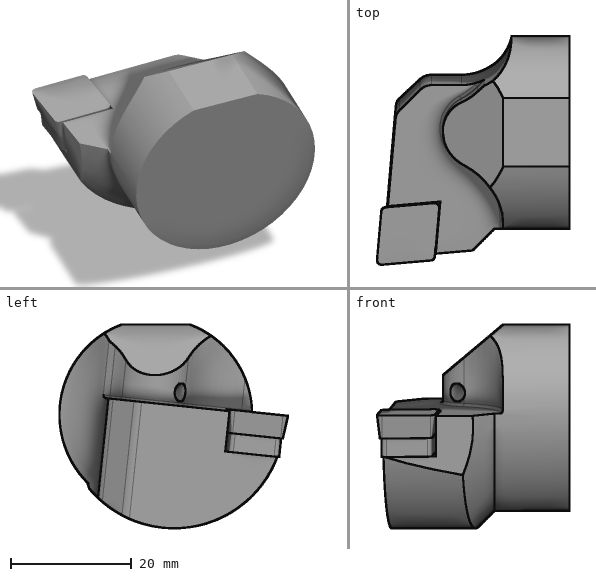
import cadquery as cq
import math

SHANK_RADIUS = 31.95 / 2
TOP_FLAT_Z = 14.95
SLANT_ANGLE = 40
SLANT_TOP_X = -11.0
SLANT_LENGTH = 11.75

HEAD_LENGTH = 34.13
HEAD_RADIUS = 18.28
HEAD_AXIS_Y = -3.05
HEAD_AXIS_Z = -0.55
FLARE_X = -12.48

TILT = math.radians(6)
FLOOR_Z = 1.85
FAR = 45.5

LEAD = math.radians(5)
FRONT_FLAT_X = -16.08
FRONT_FLAT_V = -19.68
END_FACE_X = -28.75
END_FACE_V = 3.1
BACK_V = 7.9
BACK_ARC_X = -17.95
BACK_ARC_RADIUS = 8.35
END_CORNER_RADIUS = 2.1
BACK_CORNER_RADIUS = 2.65

WALL_X = -11.07
WALL_BEND_V = -14.25
NOSE_RADIUS = 5.7
NOSE_X = -15.32
NOSE_V = 0.65
REAR_BEND = 62
REAR_WALL_ANGLE = 45
REAR_WALL_RADIUS = 11.38
REAR_WALL_END_X = -13.65
WALL_FILLET = 0.5

HOLE_DIAMETER = 3.0
HOLE_X = -18.55
HOLE_Y = -4.02
HOLE_Z = 3.68
HOLE_ANGLE = math.radians(52)
HOLE_DEPTH = 7.6

INSERT_TIP_X = -32.0
INSERT_TIP_V = -22.1
INSERT_EDGE = 9.67
INSERT_NOSE_RADIUS = 0.8
INSERT_THICKNESS = 3.85
INSERT_RELIEF = 7
INSERT_RISE = 0.25
SHIM_THICKNESS = 3.1
SHIM_OUTER_INSET = 0.7
SHIM_INNER_INSET = 0.53
POCKET_CLEARANCE = 0.1
POCKET_OVERRUN = 7.6


def floor_plane(height=0):
    """Plane parallel to the tilted floor, at a height measured square to it."""
    normal = (0, -math.sin(TILT), math.cos(TILT))
    plane = cq.Plane(origin=(0, 0, FLOOR_Z), xDir=(1, 0, 0), normal=normal)
    plane.origin = plane.toWorldCoords((0, 0, height))
    return cq.Workplane(plane)


def on_circle(center, radius, degrees):
    angle = math.radians(degrees)
    return (center[0] + radius * math.cos(angle), center[1] + radius * math.sin(angle))


def make_blank():
    """Shank joined to the eccentric head, with the conical flare between them."""
    shank = cq.Workplane("YZ").circle(SHANK_RADIUS).extrude(-HEAD_LENGTH)
    cylinder = (
        cq.Workplane("YZ").center(HEAD_AXIS_Y, HEAD_AXIS_Z).circle(HEAD_RADIUS).extrude(-HEAD_LENGTH)
    )
    flare_length = HEAD_LENGTH + FLARE_X
    flare = (
        cq.Workplane("XY")
        .polyline([
            (FLARE_X, 0),
            (FLARE_X, SHANK_RADIUS),
            (-HEAD_LENGTH, SHANK_RADIUS + flare_length),
            (-HEAD_LENGTH, 0),
        ])
        .close()
        .revolve(360, (0, 0, 0), (1, 0, 0))
    )
    above_floor = floor_plane().rect(2 * FAR, 2 * FAR).extrude(FAR)
    return shank.union(cylinder.intersect(flare).cut(above_floor))


def make_plan_prism():
    """Outline of the cutting end, square to the floor."""
    slope = math.tan(LEAD)
    flat_start = (0, FRONT_FLAT_V - slope * FRONT_FLAT_X)
    corner_x = (
        END_FACE_X + slope * (FRONT_FLAT_V - slope * FRONT_FLAT_X - END_FACE_V)
    ) / (1 - slope ** 2)
    corner = (corner_x, FRONT_FLAT_V + slope * (corner_x - FRONT_FLAT_X))
    chamfer_end = (END_FACE_X + BACK_V - END_FACE_V, BACK_V)
    arc_center = (BACK_ARC_X, BACK_V + BACK_ARC_RADIUS)
    arc_end = on_circle(arc_center, BACK_ARC_RADIUS, 0)
    prism = (
        floor_plane(-FAR)
        .moveTo(*flat_start)
        .lineTo(*corner)
        .lineTo(END_FACE_X, END_FACE_V)
        .lineTo(*chamfer_end)
        .lineTo(BACK_ARC_X, BACK_V)
        .threePointArc(on_circle(arc_center, BACK_ARC_RADIUS, -45), arc_end)
        .lineTo(arc_end[0], FAR)
        .lineTo(0, FAR)
        .close()
        .extrude(2 * FAR)
    )
    rounded_corners = (
        (END_FACE_X, END_FACE_V, END_CORNER_RADIUS),
        (*chamfer_end, BACK_CORNER_RADIUS),
    )
    for x, v, radius in rounded_corners:
        point = floor_plane().plane.toWorldCoords((x, v, 0))
        prism = prism.edges(cq.selectors.NearestToPointSelector(point.toTuple())).fillet(radius)
    return prism


def make_floor_recess():
    """Space above the floor, bounded by the curved wall."""
    nose = (NOSE_X, NOSE_V)
    reach = NOSE_X - WALL_X
    rise = NOSE_V - WALL_BEND_V
    hollow_radius = (reach ** 2 + rise ** 2 - NOSE_RADIUS ** 2) / (2 * (NOSE_RADIUS - reach))
    hollow = (WALL_X - hollow_radius, WALL_BEND_V)
    bend = math.degrees(math.atan2(rise, NOSE_X - hollow[0]))
    nose_start = on_circle(nose, NOSE_RADIUS, 180 + bend)
    nose_end = on_circle(nose, NOSE_RADIUS, 180 - REAR_BEND)
    rear_hollow = on_circle(nose, NOSE_RADIUS + REAR_WALL_RADIUS, 180 - REAR_BEND)
    rear_end = on_circle(rear_hollow, REAR_WALL_RADIUS, REAR_WALL_ANGLE - 90)
    rear_middle = on_circle(rear_hollow, REAR_WALL_RADIUS, (REAR_WALL_ANGLE - 90 - REAR_BEND) / 2)
    rear_run = REAR_WALL_END_X - rear_end[0]
    recess = (
        floor_plane()
        .moveTo(WALL_X, -FAR)
        .lineTo(WALL_X, WALL_BEND_V)
        .threePointArc(on_circle(hollow, hollow_radius, bend / 2), nose_start)
        .threePointArc(on_circle(nose, NOSE_RADIUS, 180), nose_end)
        .threePointArc(rear_middle, rear_end)
        .lineTo(REAR_WALL_END_X, rear_end[1] + rear_run * math.tan(math.radians(REAR_WALL_ANGLE)))
        .lineTo(REAR_WALL_END_X, FAR)
        .lineTo(-FAR, FAR)
        .lineTo(-FAR, -FAR)
        .close()
        .extrude(FAR)
    )
    wall_foot = floor_plane().plane.toWorldCoords((NOSE_X - NOSE_RADIUS, NOSE_V, 0))
    return recess.edges(cq.selectors.NearestToPointSelector(wall_foot.toTuple())).fillet(WALL_FILLET)


def make_top_cut():
    """Material above the top flat and above the sloping face."""
    slope_drop = SLANT_LENGTH * math.tan(math.radians(SLANT_ANGLE))
    return (
        cq.Workplane("XZ")
        .polyline([
            (0, TOP_FLAT_Z),
            (SLANT_TOP_X, TOP_FLAT_Z),
            (SLANT_TOP_X - SLANT_LENGTH, TOP_FLAT_Z - slope_drop),
            (SLANT_TOP_X - SLANT_LENGTH, FAR),
            (0, FAR),
        ])
        .close()
        .extrude(FAR, both=True)
    )


def make_hole():
    inward = cq.Vector(math.cos(HOLE_ANGLE), math.sin(HOLE_ANGLE), 0)
    lead_in = HOLE_DIAMETER
    start = cq.Vector(HOLE_X, HOLE_Y, HOLE_Z) - inward * lead_in
    return cq.Solid.makeCylinder(HOLE_DIAMETER / 2, HOLE_DEPTH + lead_in, start, inward)


def rhombus(outer_inset=0, inner_inset=0):
    """Insert outline, tip first, with its cutting edges and inner edges moved inward."""
    near = outer_inset / math.cos(2 * LEAD)
    far = INSERT_EDGE - inner_inset / math.cos(2 * LEAD)
    corners = []
    for along, across in ((near, near), (far, near), (far, far), (near, far)):
        x = INSERT_TIP_X + along * math.cos(LEAD) + across * math.sin(LEAD)
        v = INSERT_TIP_V + along * math.sin(LEAD) + across * math.cos(LEAD)
        corners.append((x, v))
    return corners


def rounded_rhombus(corners):
    outline = cq.Sketch().polygon([*corners, corners[0]])
    return outline.vertices().fillet(INSERT_NOSE_RADIUS)


def make_insert():
    outline = rounded_rhombus(rhombus())
    return floor_plane(INSERT_RISE).placeSketch(outline).extrude(-INSERT_THICKNESS, taper=INSERT_RELIEF)


def make_pocket():
    """Pocket with sharp walls along the two inner insert edges, open at the tip."""
    depth = INSERT_THICKNESS + SHIM_THICKNESS
    outline = rhombus(-POCKET_OVERRUN, -POCKET_CLEARANCE)
    return (
        floor_plane(INSERT_RISE - depth)
        .polyline(outline)
        .close()
        .extrude(depth + POCKET_OVERRUN)
    )


def make_shim():
    outline = rounded_rhombus(rhombus(SHIM_OUTER_INSET, SHIM_INNER_INSET))
    return floor_plane(INSERT_RISE - INSERT_THICKNESS).placeSketch(outline).extrude(-SHIM_THICKNESS)


def make_head():
    """Boring head with the insert seat raised in its pocket."""
    head = make_blank().intersect(make_plan_prism())
    head = head.cut(make_floor_recess()).cut(make_top_cut())
    head = head.cut(cq.Workplane(make_hole()))
    return head.cut(make_pocket()).union(make_shim()).solids()


head = make_head()
insert = make_insert()

result = cq.Compound.makeCompound([head.val(), insert.val()])